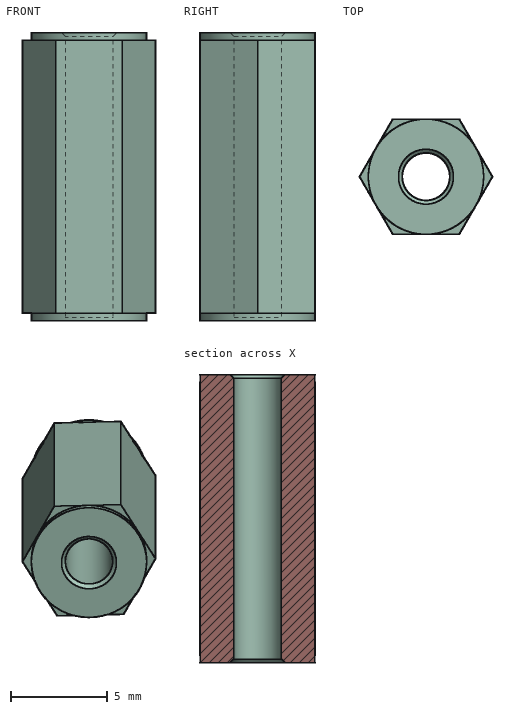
import cadquery as cq
import math

length = 15.0
side_count = 6
across_flats = 6.0
across_corners = across_flats / math.cos(math.pi / side_count)
collar_height = 0.4
collar_diameter = across_flats
bore_diameter = 2.46
bore_chamfer = 0.2


def hexagonal_body():
    """Hexagonal prism between the two collars, with corners on the X axis."""
    return (
        cq.Workplane("XY")
        .workplane(offset=collar_height)
        .polygon(side_count, across_corners)
        .extrude(length - 2 * collar_height)
    )


def collar(base_z):
    """Round collar that touches the flats of the hexagon."""
    return (
        cq.Workplane("XY")
        .workplane(offset=base_z)
        .circle(collar_diameter / 2)
        .extrude(collar_height)
    )


def chamfered_bore():
    """Through bore that widens at 45 degrees at both ends, as a solid to cut away."""
    bore_radius = bore_diameter / 2
    mouth_radius = bore_radius + bore_chamfer
    return (
        cq.Workplane("XZ")
        .moveTo(0, 0)
        .lineTo(mouth_radius, 0)
        .lineTo(bore_radius, bore_chamfer)
        .lineTo(bore_radius, length - bore_chamfer)
        .lineTo(mouth_radius, length)
        .lineTo(0, length)
        .close()
        .revolve(360, (0, 0, 0), (0, 1, 0))
    )


result = hexagonal_body()
for base_z in (0, length - collar_height):
    result = result.union(collar(base_z))
result = result.cut(chamfered_bore())